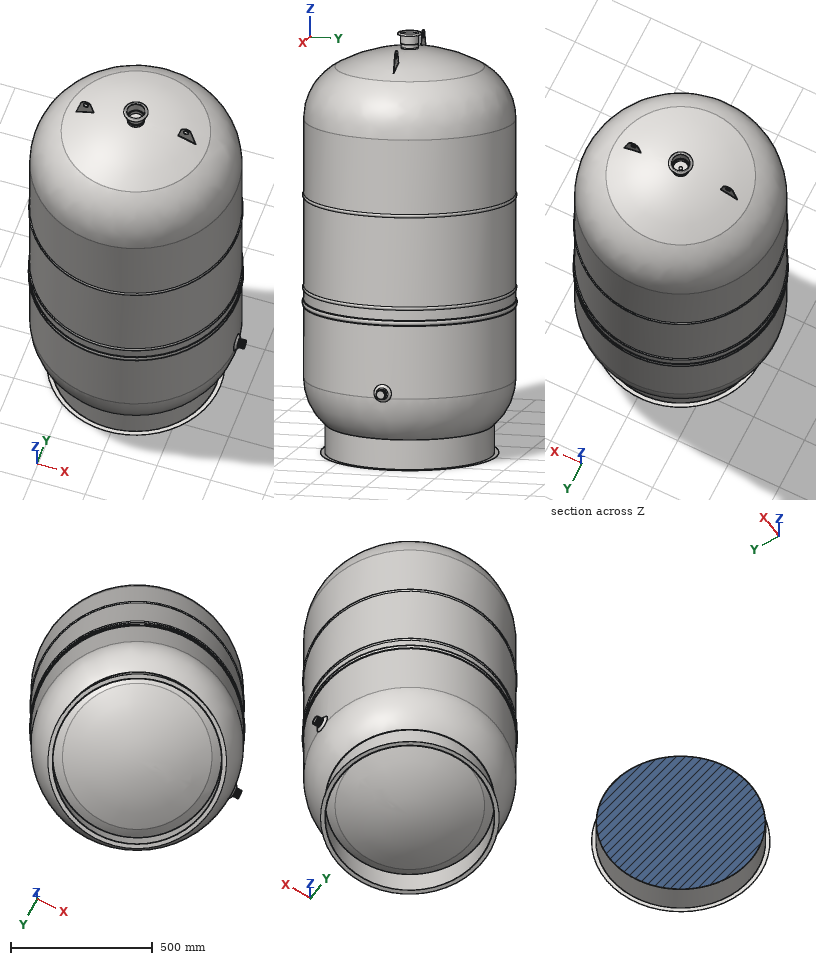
import cadquery as cq
import math

TOTAL_HEIGHT = 1515.0

VESSEL_DIAMETER = 750.0
VESSEL_RADIUS = VESSEL_DIAMETER / 2
KNUCKLE_RADIUS = 214.0
CROWN_RADIUS = 550.0
LOWER_TANGENT_Z = 271.0
UPPER_TANGENT_Z = 1204.0

KNUCKLE_CENTER_RADIUS = VESSEL_RADIUS - KNUCKLE_RADIUS
CROWN_HALF_ANGLE = math.asin(KNUCKLE_CENTER_RADIUS / (CROWN_RADIUS - KNUCKLE_RADIUS))
CROWN_CENTER_DROP = (CROWN_RADIUS - KNUCKLE_RADIUS) * math.cos(CROWN_HALF_ANGLE)
HEAD_HEIGHT = CROWN_RADIUS - CROWN_CENTER_DROP
APEX_Z = UPPER_TANGENT_Z + HEAD_HEIGHT

BEAD_DIAMETER = 757.0
BEAD_HEIGHT = 12.0
BEAD_HEIGHTS_Z = (597.0, 930.0)
CLAMP_Z = 544.0
CLAMP_BAND_DIAMETER = 755.0
CLAMP_BAND_HEIGHT = 21.0
CLAMP_BEAD_DIAMETER = 760.0
CLAMP_BEAD_HEIGHT = 15.0

PORT_Z = 290.0
PORT_END_X = 406.0
THREAD_DIAMETER = 33.0
THREAD_ROOT_DIAMETER = 30.0
THREAD_PITCH = 2.3
THREAD_COUNT = 10
PORT_COLLAR_BASE_DIAMETER = 64.0
PORT_COLLAR_TIP_DIAMETER = 42.0

SKIRT_OUTER_DIAMETER = 600.0
SKIRT_INNER_DIAMETER = 595.0
SKIRT_TOP_Z = 112.0
FOOT_DIAMETER = 630.0
FOOT_THICKNESS = 2.0

NOZZLE_NECK_DIAMETER = 60.0
NOZZLE_BODY_DIAMETER = 65.0
NOZZLE_BODY_BOTTOM_Z = 1475.0
NOZZLE_RIM_DIAMETER = 86.0
NOZZLE_RIM_HEIGHT = 6.0
NOZZLE_BORE_DIAMETER = 64.0
NOZZLE_NECK_BORE_DIAMETER = 55.0
NOZZLE_SHOULDER_THICKNESS = 2.0
NOZZLE_FLOOR_THICKNESS = 3.0
AIR_HOLE_DIAMETER = 12.3

LUG_OFFSET_X = 186.0
LUG_THICKNESS = 3.0
LUG_EYE_DIAMETER = 18.0
LUG_EYE_Z = 1466.0
LUG_TOP_RADIUS = 20.0
LUG_BASE_Z = 1412.0
LUG_BASE_HALF_WIDTH = 36.0


def point_on_arc(center_r, center_z, radius, angle):
    """Point at an angle measured from the vertical axis."""
    return (center_r + radius * math.sin(angle), center_z + radius * math.cos(angle))


def make_vessel():
    """Revolve the half outline from the bottom apex to the top apex."""
    crown_top_z = UPPER_TANGENT_Z - CROWN_CENTER_DROP
    crown_bottom_z = LOWER_TANGENT_Z + CROWN_CENTER_DROP
    half = CROWN_HALF_ANGLE / 2
    knuckle_mid = (CROWN_HALF_ANGLE + math.pi / 2) / 2

    outline = (
        cq.Workplane("XZ")
        .moveTo(0, LOWER_TANGENT_Z - HEAD_HEIGHT)
        .threePointArc(
            point_on_arc(0, crown_bottom_z, CROWN_RADIUS, math.pi - half),
            point_on_arc(0, crown_bottom_z, CROWN_RADIUS, math.pi - CROWN_HALF_ANGLE),
        )
        .threePointArc(
            point_on_arc(KNUCKLE_CENTER_RADIUS, LOWER_TANGENT_Z, KNUCKLE_RADIUS, math.pi - knuckle_mid),
            (VESSEL_RADIUS, LOWER_TANGENT_Z),
        )
        .lineTo(VESSEL_RADIUS, UPPER_TANGENT_Z)
        .threePointArc(
            point_on_arc(KNUCKLE_CENTER_RADIUS, UPPER_TANGENT_Z, KNUCKLE_RADIUS, knuckle_mid),
            point_on_arc(0, crown_top_z, CROWN_RADIUS, CROWN_HALF_ANGLE),
        )
        .threePointArc(point_on_arc(0, crown_top_z, CROWN_RADIUS, half), (0, APEX_Z))
        .close()
    )
    return outline.revolve(360, (0, 0, 0), (0, 1, 0))


def make_bead(center_z, base_diameter, diameter, height):
    """Solid disc whose rim bulges from the base diameter to the full diameter."""
    bottom_z = center_z - height / 2
    top_z = center_z + height / 2
    return (
        cq.Workplane("XZ")
        .moveTo(0, bottom_z)
        .lineTo(base_diameter / 2, bottom_z)
        .threePointArc((diameter / 2, center_z), (base_diameter / 2, top_z))
        .lineTo(0, top_z)
        .close()
        .revolve(360, (0, 0, 0), (0, 1, 0))
    )


def make_clamp():
    """Flat band with a bulging bead around its middle."""
    band = (
        cq.Workplane("XY", origin=(0, 0, CLAMP_Z - CLAMP_BAND_HEIGHT / 2))
        .circle(CLAMP_BAND_DIAMETER / 2)
        .extrude(CLAMP_BAND_HEIGHT)
    )
    return band.union(make_bead(CLAMP_Z, CLAMP_BAND_DIAMETER, CLAMP_BEAD_DIAMETER, CLAMP_BEAD_HEIGHT))


def make_port():
    """Conical weld collar up to a threaded end; the thread is a row of V-shaped rings."""
    inner_x = VESSEL_RADIUS - PORT_COLLAR_BASE_DIAMETER / 2
    thread_start_x = PORT_END_X - THREAD_COUNT * THREAD_PITCH
    root_radius = THREAD_ROOT_DIAMETER / 2

    outline = (
        cq.Workplane("XZ")
        .moveTo(inner_x, 0)
        .lineTo(inner_x, PORT_COLLAR_BASE_DIAMETER / 2)
        .lineTo(VESSEL_RADIUS, PORT_COLLAR_BASE_DIAMETER / 2)
        .lineTo(thread_start_x, PORT_COLLAR_TIP_DIAMETER / 2)
        .lineTo(thread_start_x, root_radius)
    )
    for turn in range(THREAD_COUNT):
        turn_x = thread_start_x + turn * THREAD_PITCH
        outline = outline.lineTo(turn_x + THREAD_PITCH / 2, THREAD_DIAMETER / 2)
        outline = outline.lineTo(turn_x + THREAD_PITCH, root_radius)
    port = outline.lineTo(PORT_END_X, 0).close().revolve(360, (0, 0, 0), (1, 0, 0))
    return port.translate((0, 0, PORT_Z))


def make_tank(vessel):
    """Vessel with its raised rings and its side port."""
    tank = vessel.union(make_clamp())
    for bead_z in BEAD_HEIGHTS_Z:
        tank = tank.union(make_bead(bead_z, VESSEL_DIAMETER, BEAD_DIAMETER, BEAD_HEIGHT))
    return tank.union(make_port())


def make_skirt(vessel):
    """Sheet ring on a flat foot, its top edge fitted to the lower head."""
    wall = cq.Workplane("XY").circle(SKIRT_OUTER_DIAMETER / 2).extrude(SKIRT_TOP_Z)
    foot = cq.Workplane("XY").circle(FOOT_DIAMETER / 2).extrude(FOOT_THICKNESS)
    opening = cq.Workplane("XY").circle(SKIRT_INNER_DIAMETER / 2).extrude(SKIRT_TOP_Z)
    return wall.union(foot).cut(opening).cut(vessel)


def make_nozzle(vessel):
    """Flanged cup standing on the apex, with a small air hole through its floor."""
    rim_bottom_z = TOTAL_HEIGHT - NOZZLE_RIM_HEIGHT
    rim_round_center_r = NOZZLE_RIM_DIAMETER / 2 - NOZZLE_RIM_HEIGHT
    shoulder_z = NOZZLE_BODY_BOTTOM_Z + NOZZLE_SHOULDER_THICKNESS
    floor_z = APEX_Z + NOZZLE_FLOOR_THICKNESS
    base_z = APEX_Z - NOZZLE_FLOOR_THICKNESS

    nozzle = (
        cq.Workplane("XZ")
        .moveTo(AIR_HOLE_DIAMETER / 2, base_z)
        .lineTo(NOZZLE_NECK_DIAMETER / 2, base_z)
        .lineTo(NOZZLE_NECK_DIAMETER / 2, NOZZLE_BODY_BOTTOM_Z)
        .lineTo(NOZZLE_BODY_DIAMETER / 2, NOZZLE_BODY_BOTTOM_Z)
        .lineTo(NOZZLE_BODY_DIAMETER / 2, rim_bottom_z)
        .lineTo(NOZZLE_RIM_DIAMETER / 2, rim_bottom_z)
        .threePointArc(
            point_on_arc(rim_round_center_r, rim_bottom_z, NOZZLE_RIM_HEIGHT, math.pi / 4),
            (rim_round_center_r, TOTAL_HEIGHT),
        )
        .lineTo(NOZZLE_BORE_DIAMETER / 2, TOTAL_HEIGHT)
        .lineTo(NOZZLE_BORE_DIAMETER / 2, shoulder_z)
        .lineTo(NOZZLE_NECK_BORE_DIAMETER / 2, shoulder_z)
        .lineTo(NOZZLE_NECK_BORE_DIAMETER / 2, floor_z)
        .lineTo(AIR_HOLE_DIAMETER / 2, floor_z)
        .close()
        .revolve(360, (0, 0, 0), (0, 1, 0))
    )
    return nozzle.cut(vessel)


def make_lug(center_x, vessel):
    """Plate with a round top and an eye, flaring down to the upper head."""
    height = LUG_EYE_Z - LUG_BASE_Z
    reach = math.hypot(LUG_BASE_HALF_WIDTH, height)
    touch_angle = math.acos(LUG_TOP_RADIUS / reach) - math.atan2(height, LUG_BASE_HALF_WIDTH)
    touch_x = LUG_TOP_RADIUS * math.cos(touch_angle)
    touch_z = LUG_EYE_Z + LUG_TOP_RADIUS * math.sin(touch_angle)

    plate = (
        cq.Workplane("XZ")
        .moveTo(center_x - LUG_BASE_HALF_WIDTH, LUG_BASE_Z)
        .lineTo(center_x + LUG_BASE_HALF_WIDTH, LUG_BASE_Z)
        .lineTo(center_x + touch_x, touch_z)
        .threePointArc((center_x, LUG_EYE_Z + LUG_TOP_RADIUS), (center_x - touch_x, touch_z))
        .close()
        .extrude(LUG_THICKNESS / 2, both=True)
    )
    eye = (
        cq.Workplane("XZ")
        .center(center_x, LUG_EYE_Z)
        .circle(LUG_EYE_DIAMETER / 2)
        .extrude(LUG_THICKNESS, both=True)
    )
    return plate.cut(eye).cut(vessel)


vessel = make_vessel()
tank = make_tank(vessel)
skirt = make_skirt(vessel)
nozzle = make_nozzle(vessel)
lugs = [make_lug(side * LUG_OFFSET_X, vessel) for side in (-1, 1)]

bodies = [tank, skirt, nozzle, *lugs]
result = cq.Compound.makeCompound([body.solids().val() for body in bodies])